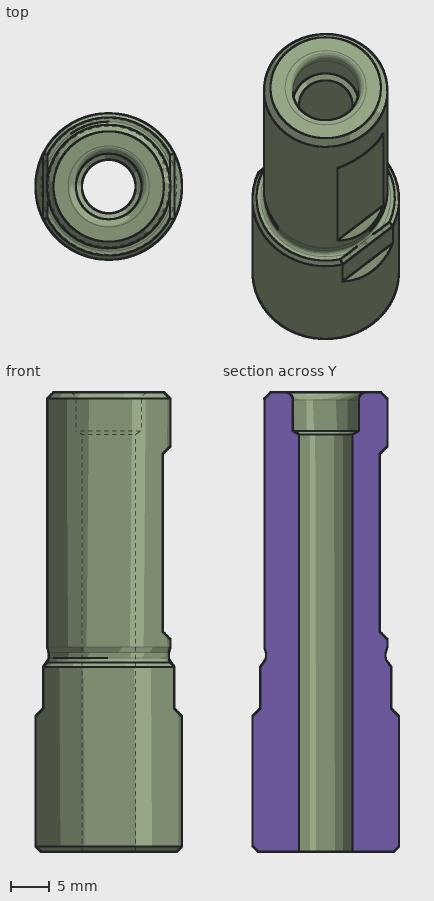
import cadquery as cq
import math

total_height = 59.5
shoulder_z = 24.5

collar_diameter = 19.0
collar_chamfer = 0.7
shoulder_chamfer = 0.55

across_flats = 17.0
flat_bottom_z = 18.55

shank_diameter = 16.0
shank_chamfer = 0.85
groove_diameter = 15.6
groove_fillet = 0.6
groove_straight_top_z = 25.8
groove_top_z = 26.5

clamp_flat_x = 7.0
clamp_flat_bottom_z = 28.5
clamp_flat_top_z = 51.5

selection_margin = 0.01

through_diameter = 6.92
bore_diameter = 8.5
bore_mouth_diameter = 10.5
bore_depth = 5.0
bore_seat_angle = 120.0

collar_r = collar_diameter / 2
shank_r = shank_diameter / 2
groove_r = groove_diameter / 2
bore_r = bore_diameter / 2
fillet_foot_r = groove_r + groove_fillet


def sloped_recess(floor_x, bottom_z, top_z, open_top):
    """Prism beyond x = floor_x, cutting a flat whose closed ends rise at 45 degrees."""
    reach = collar_diameter
    top_reach = 0 if open_top else reach
    return (
        cq.Workplane("XZ")
        .moveTo(floor_x, bottom_z)
        .lineTo(floor_x + reach, bottom_z - reach)
        .lineTo(floor_x + reach, top_z + top_reach)
        .lineTo(floor_x, top_z)
        .close()
        .extrude(collar_diameter, both=True)
    )


def make_collar():
    """Round collar with a bevelled bottom edge and two opposite wrench flats below the shoulder."""
    collar = (
        cq.Workplane("XZ")
        .moveTo(0, 0)
        .lineTo(collar_r - collar_chamfer, 0)
        .lineTo(collar_r, collar_chamfer)
        .lineTo(collar_r, shoulder_z)
        .lineTo(0, shoulder_z)
        .close()
        .revolve(360, (0, 0), (0, 1))
    )
    recess = sloped_recess(across_flats / 2, flat_bottom_z, shoulder_z, open_top=True)
    for angle in (0, 180):
        collar = collar.cut(recess.rotate((0, 0, 0), (0, 0, 1), angle))
    return collar


def make_shank():
    """Shank with a chamfered end and a relief groove that runs into the shoulder."""
    fillet_middle = groove_fillet * (1 - math.sqrt(0.5))
    return (
        cq.Workplane("XZ")
        .moveTo(0, shoulder_z)
        .lineTo(fillet_foot_r, shoulder_z)
        .threePointArc(
            (groove_r + fillet_middle, shoulder_z + fillet_middle),
            (groove_r, shoulder_z + groove_fillet),
        )
        .lineTo(groove_r, groove_straight_top_z)
        .lineTo(shank_r, groove_top_z)
        .lineTo(shank_r, total_height - shank_chamfer)
        .lineTo(shank_r - shank_chamfer, total_height)
        .lineTo(0, total_height)
        .close()
        .revolve(360, (0, 0), (0, 1))
    )


def make_bore():
    """Through hole, wider upper bore with a conical seat, and a rounded bore mouth."""
    mouth_r = bore_mouth_diameter / 2
    round_r = mouth_r - bore_r
    round_middle = round_r * (1 - math.sqrt(0.5))
    through_r = through_diameter / 2
    seat_top_z = total_height - bore_depth
    seat_height = (bore_r - through_r) / math.tan(math.radians(bore_seat_angle / 2))
    return (
        cq.Workplane("XZ")
        .moveTo(0, 0)
        .lineTo(through_r, 0)
        .lineTo(through_r, seat_top_z - seat_height)
        .lineTo(bore_r, seat_top_z)
        .lineTo(bore_r, total_height - round_r)
        .threePointArc(
            (bore_r + round_middle, total_height - round_middle),
            (mouth_r, total_height),
        )
        .lineTo(0, total_height)
        .close()
        .revolve(360, (0, 0), (0, 1))
    )


def chamfer_shoulder(body):
    """Chamfer the outer edge of the shoulder, round stretches and flats alike."""
    shoulder_zone = cq.selectors.BoxSelector(
        (-collar_r, -collar_r, shoulder_z - selection_margin),
        (collar_r, collar_r, shoulder_z + selection_margin),
    )
    rim = body.faces(shoulder_zone).val().outerWire()
    return body.newObject(rim.Edges()).chamfer(shoulder_chamfer)


clamp_flat = sloped_recess(clamp_flat_x, clamp_flat_bottom_z, clamp_flat_top_z, open_top=False)
shank = make_shank().cut(clamp_flat)
collar_and_shank = chamfer_shoulder(make_collar().union(shank))
result = collar_and_shank.cut(make_bore())